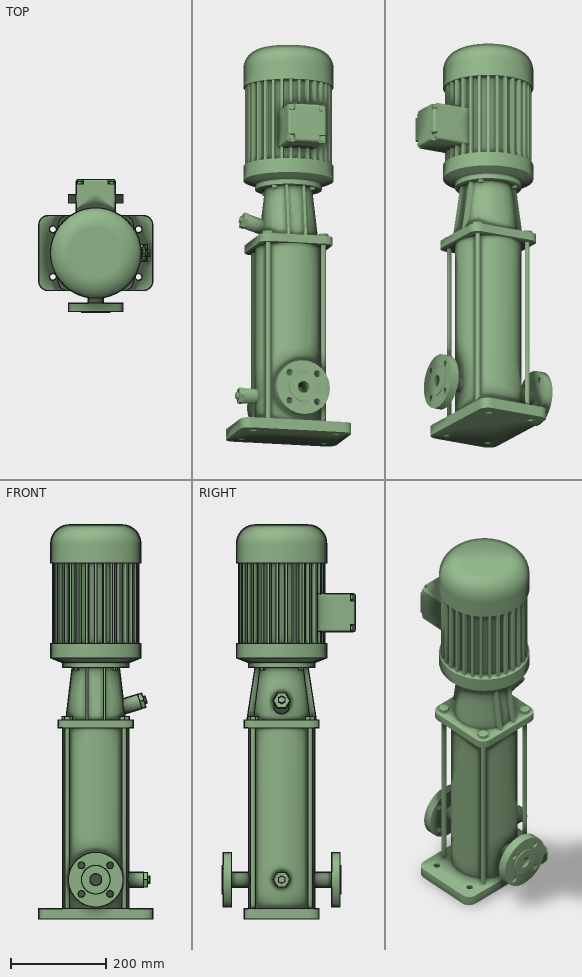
import cadquery as cq
import math


BASE_TOP = 22
PORT_Z = 83
HEAD_PLATE_BOTTOM = 402
HEAD_PLATE_TOP = 419
MOTOR_FLANGE_BOTTOM = 529
MOTOR_FLANGE_TOP = 539
SKIRT_TOP = 549
LOWER_RING_TOP = 579
FAN_COVER_BOTTOM = 749
PUMP_HEIGHT = 829

BASE_LENGTH = 240
PLATE_WIDTH = 158
PLATE_CORNER_RADIUS = 20
ANCHOR_SPACING_X = 180
ANCHOR_SPACING_Y = 100
ANCHOR_HOLE_DIAMETER = 14

SLEEVE_DIAMETER = 140
ROD_DIAMETER = 10
ROD_OFFSET = 60
ROD_NUT_FLATS = 19
ROD_NUT_HEIGHT = 7

PORT_REACH = 125
PORT_FLANGE_DIAMETER = 115
PORT_FLANGE_THICKNESS = 18
PORT_FACE_DIAMETER = 60
PORT_FACE_HEIGHT = 2
PORT_PIPE_DIAMETER = 32
PORT_BORE_DIAMETER = 25
PORT_BOLT_CIRCLE = 85
PORT_BOLT_HOLE_DIAMETER = 14
PORT_BOLT_COUNT = 4

PLUG_DIAMETER = 32
PLUG_HEX_FLATS = 31
PLUG_HEX_LENGTH = 9
PLUG_TIP_CORNERS = 16
PLUG_TIP_LENGTH = 5
PLUG_ROOT = 40
DRAIN_SHOULDER = 100
VENT_SHOULDER = 92.5
VENT_SHOULDER_Z = 457.5
VENT_TILT = 17

BRACKET_BOTTOM_RADIUS = 63
BRACKET_TOP_RADIUS = 50
RIB_BOTTOM_REACH = 73
RIB_TOP_REACH = 56
RIB_ROOT = 40
RIB_THICKNESS = 5
RIB_OFFSET = 18.5

MOTOR_FLANGE_DIAMETER = 140
MOTOR_DIAMETER = 190
DOME_RADIUS = 40
MOTOR_BODY_DIAMETER = 156
FIN_TIP_DIAMETER = 182
FIN_THICKNESS = 5
FIN_COUNT = 30
FLANGE_SCREW_OFFSET = 41
FLANGE_SCREW_FLATS = 10
FLANGE_SCREW_HEIGHT = 5

BOX_WIDTH = 82
BOX_HEIGHT = 80
BOX_REACH = 155
BOX_CENTER_Z = 644
BOX_ROOT = 60
BOX_EDGE_RADIUS = 5
LID_NOTCH_SIZE = 15
LID_NOTCH_DEPTH = 10
LID_SCREW_DIAMETER = 10


def cylinder(diameter, bottom, top):
    return cq.Workplane("XY").workplane(offset=bottom).circle(diameter / 2).extrude(top - bottom)


def hexagon(corner_diameter, bottom, top):
    """Hexagonal prism along Z with corners on the X axis."""
    return cq.Workplane("XY").workplane(offset=bottom).polygon(6, corner_diameter).extrude(top - bottom)


def corners_for_flats(flats):
    return flats / math.cos(math.radians(30))


def four_corners(offset_x, offset_y):
    return [(sx * offset_x, sy * offset_y) for sx in (-1, 1) for sy in (-1, 1)]


def corner_hex_heads(offset, flats, bottom, top):
    """Four hexagon heads around the axis, each turned 90 degrees from its neighbours."""
    corner_diameter = corners_for_flats(flats)
    heads = cq.Workplane("XY")
    for x, y in four_corners(offset, offset):
        turn = 0 if x * y > 0 else 90
        head = hexagon(corner_diameter, bottom, top)
        heads = heads.add(head.rotate((0, 0, 0), (0, 0, 1), turn).translate((x, y, 0)))
    return heads.combine()


def rounded_plate(length, bottom, top):
    plate = cq.Workplane("XY").workplane(offset=bottom).rect(length, PLATE_WIDTH).extrude(top - bottom)
    return plate.edges("|Z").fillet(PLATE_CORNER_RADIUS)


def make_base():
    anchors = four_corners(ANCHOR_SPACING_X / 2, ANCHOR_SPACING_Y / 2)
    base = rounded_plate(BASE_LENGTH, 0, BASE_TOP)
    return base.faces(">Z").workplane(origin=(0, 0, 0)).pushPoints(anchors).hole(ANCHOR_HOLE_DIAMETER)


def make_tie_rods():
    rods = (
        cq.Workplane("XY")
        .workplane(offset=BASE_TOP / 2)
        .pushPoints(four_corners(ROD_OFFSET, ROD_OFFSET))
        .circle(ROD_DIAMETER / 2)
        .extrude(HEAD_PLATE_TOP - BASE_TOP / 2)
    )
    nut_top = HEAD_PLATE_TOP + ROD_NUT_HEIGHT
    return rods.union(corner_hex_heads(ROD_OFFSET, ROD_NUT_FLATS, HEAD_PLATE_TOP, nut_top))


def make_port():
    """Pipe, bolted flange and raised face, built along +Z from the pump axis."""
    face_base = PORT_REACH - PORT_FACE_HEIGHT
    flange_back = face_base - PORT_FLANGE_THICKNESS
    port = cylinder(PORT_PIPE_DIAMETER, 0, flange_back)
    port = port.union(cylinder(PORT_FLANGE_DIAMETER, flange_back, face_base))
    port = port.union(cylinder(PORT_FACE_DIAMETER, face_base, PORT_REACH))
    bolt_holes = (
        cq.Workplane("XY")
        .workplane(offset=flange_back)
        .polarArray(PORT_BOLT_CIRCLE / 2, 180 / PORT_BOLT_COUNT, 360, PORT_BOLT_COUNT)
        .circle(PORT_BOLT_HOLE_DIAMETER / 2)
        .extrude(PORT_FLANGE_THICKNESS)
    )
    return port.cut(bolt_holes)


def place_on_y_side(shape, side):
    """Lay a shape built along +Z onto the -Y (side = -1) or +Y (side = 1) port."""
    return shape.rotate((0, 0, 0), (1, 0, 0), -90 * side).translate((0, 0, PORT_Z))


def make_plug(shoulder):
    """Plug built along +X: round body up to the shoulder, hexagon, then a small hexagonal tip."""
    hex_end = shoulder + PLUG_HEX_LENGTH
    body = cylinder(PLUG_DIAMETER, PLUG_ROOT, shoulder)
    head = hexagon(corners_for_flats(PLUG_HEX_FLATS), shoulder, hex_end)
    head = head.rotate((0, 0, 0), (0, 0, 1), 90)
    tip = hexagon(PLUG_TIP_CORNERS, hex_end, hex_end + PLUG_TIP_LENGTH)
    return body.union(head).union(tip).rotate((0, 0, 0), (0, 1, 0), 90)


def make_vent_plug():
    """Plug tilted upward, turned about the middle of its shoulder."""
    plug = make_plug(VENT_SHOULDER)
    plug = plug.rotate((VENT_SHOULDER, 0, 0), (VENT_SHOULDER, 1, 0), -VENT_TILT)
    return plug.translate((0, 0, VENT_SHOULDER_Z))


def make_bracket():
    cone = (
        cq.Workplane("XZ")
        .moveTo(0, HEAD_PLATE_TOP)
        .lineTo(BRACKET_BOTTOM_RADIUS, HEAD_PLATE_TOP)
        .lineTo(BRACKET_TOP_RADIUS, MOTOR_FLANGE_BOTTOM)
        .lineTo(0, MOTOR_FLANGE_BOTTOM)
        .close()
        .revolve(360, (0, 0, 0), (0, 1, 0))
    )
    rib = (
        cq.Workplane("YZ")
        .moveTo(RIB_ROOT, HEAD_PLATE_TOP)
        .lineTo(RIB_BOTTOM_REACH, HEAD_PLATE_TOP)
        .lineTo(RIB_TOP_REACH, MOTOR_FLANGE_BOTTOM)
        .lineTo(RIB_ROOT, MOTOR_FLANGE_BOTTOM)
        .close()
        .extrude(RIB_THICKNESS / 2, both=True)
    )
    bracket = cone
    for x in (-RIB_OFFSET, RIB_OFFSET):
        placed = rib.translate((x, 0, 0))
        bracket = bracket.union(placed).union(placed.mirror("XZ"))
    return bracket


def make_motor():
    skirt = (
        cq.Workplane("XY")
        .workplane(offset=MOTOR_FLANGE_TOP)
        .circle(MOTOR_FLANGE_DIAMETER / 2)
        .workplane(offset=SKIRT_TOP - MOTOR_FLANGE_TOP)
        .circle(MOTOR_DIAMETER / 2)
        .loft(ruled=True)
    )
    fan_cover = cylinder(MOTOR_DIAMETER, FAN_COVER_BOTTOM, PUMP_HEIGHT)
    fan_cover = fan_cover.faces(">Z").edges().fillet(DOME_RADIUS)
    motor = cylinder(MOTOR_FLANGE_DIAMETER, MOTOR_FLANGE_BOTTOM, MOTOR_FLANGE_TOP)
    motor = motor.union(skirt)
    motor = motor.union(cylinder(MOTOR_DIAMETER, SKIRT_TOP, LOWER_RING_TOP))
    motor = motor.union(make_finned_body())
    motor = motor.union(fan_cover)
    screw_bottom = MOTOR_FLANGE_BOTTOM - FLANGE_SCREW_HEIGHT
    screws = corner_hex_heads(
        FLANGE_SCREW_OFFSET, FLANGE_SCREW_FLATS, screw_bottom, MOTOR_FLANGE_BOTTOM
    )
    return motor.union(screws)


def make_finned_body():
    """Ribbed stator housing; one fin points along +Y."""
    height = FAN_COVER_BOTTOM - LOWER_RING_TOP
    half_tip = FIN_TIP_DIAMETER / 2
    fin = (
        cq.Workplane("XY")
        .workplane(offset=LOWER_RING_TOP)
        .center(0, half_tip / 2)
        .rect(FIN_THICKNESS, half_tip)
        .extrude(height)
    )
    body = cylinder(MOTOR_BODY_DIAMETER, LOWER_RING_TOP, FAN_COVER_BOTTOM)
    fins = [fin.rotate((0, 0, 0), (0, 0, 1), i * 360 / FIN_COUNT).val() for i in range(FIN_COUNT)]
    return cq.Workplane("XY").newObject([body.val().fuse(*fins)])


def make_terminal_box():
    """Box with rounded edges, built along +Z and then laid along +Y."""
    outline = cq.Workplane("XY").workplane(offset=BOX_ROOT).rect(BOX_WIDTH, BOX_HEIGHT)
    box = outline.extrude(BOX_REACH - BOX_ROOT)
    box = box.edges("|Z or >Z").fillet(BOX_EDGE_RADIUS)
    corners = four_corners((BOX_WIDTH - LID_NOTCH_SIZE) / 2, (BOX_HEIGHT - LID_NOTCH_SIZE) / 2)
    notch_floor = BOX_REACH - LID_NOTCH_DEPTH
    lid_corners = cq.Workplane("XY").workplane(offset=notch_floor).pushPoints(corners)
    notches = lid_corners.rect(LID_NOTCH_SIZE, LID_NOTCH_SIZE).extrude(LID_NOTCH_DEPTH)
    screws = lid_corners.circle(LID_SCREW_DIAMETER / 2).extrude(LID_NOTCH_DEPTH / 2)
    box = box.cut(notches).union(screws)
    return box.rotate((0, 0, 0), (1, 0, 0), -90).translate((0, 0, BOX_CENTER_Z))


result = make_base()
result = result.union(cylinder(SLEEVE_DIAMETER, BASE_TOP, HEAD_PLATE_BOTTOM))
result = result.union(rounded_plate(PLATE_WIDTH, HEAD_PLATE_BOTTOM, HEAD_PLATE_TOP))
result = result.union(make_tie_rods())
result = result.union(make_plug(DRAIN_SHOULDER).translate((0, 0, PORT_Z)))
result = result.union(make_bracket())
result = result.union(make_vent_plug())
result = result.union(make_motor())
result = result.union(make_terminal_box())

bore = cylinder(PORT_BORE_DIAMETER, SLEEVE_DIAMETER / 2, PORT_REACH)
for port_side in (-1, 1):
    result = result.union(place_on_y_side(make_port(), port_side))
    result = result.cut(place_on_y_side(bore, port_side))